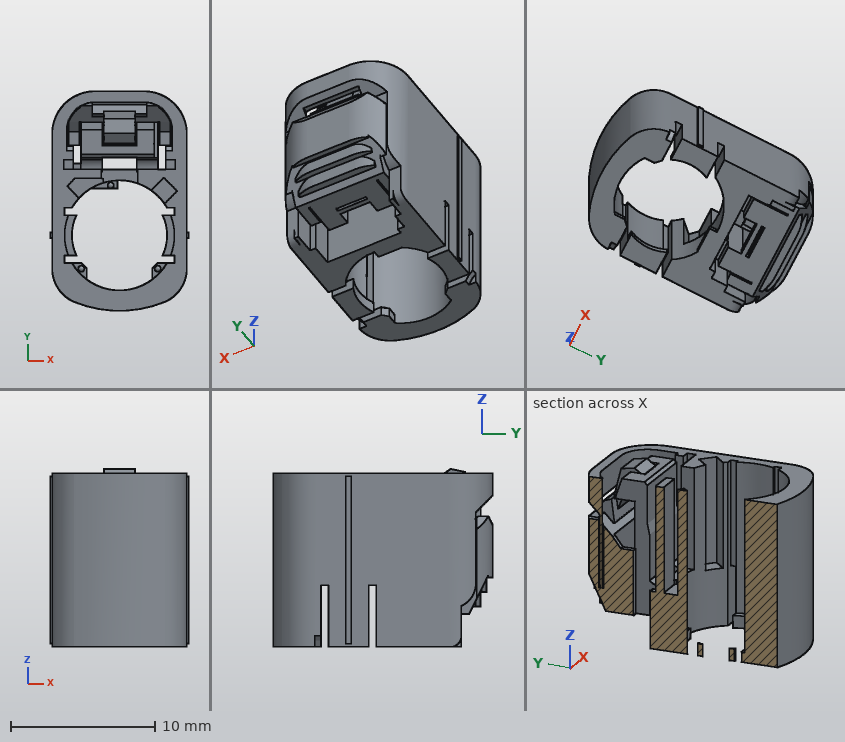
import cadquery as cq
import math

half_width = 4.68
shell_height = 12.05
back_y = 10.0
back_radius = 2.99
front_corner_start_y = -2.29
front_corner_end = (3.15, -4.62)
overall_length = 15.24
front_y = back_y - overall_length
overlap = 0.15
margin = 1.52

bore_radius = 3.81
lip_radius = 3.29
lip_height = 0.91
slot_inner_y = 1.4
slot_outer_y = 1.9
slot_height = 4.27
key_floor = slot_height
gap_floor = key_floor + 0.3
key_distance = 5.0
key_width = 1.31
key_angle = 45.0
gap_half_width = 1.28
stepped_key_outline = [
    (-3.1, 3.96), (-3.61, 3.41), (-2.85, 2.6), (-1.52, 2.6),
    (-1.11, 3.35), (-1.11, 3.9), (-gap_half_width, 3.96),
]
pad_height = 0.76
pad_inner_x = 2.25
pad_chamfer = 0.4
back_pad_end_x = -0.12
back_pad_front_y = 3.25
bump_radius = 0.21
bump_centers = [(-2.65, -2.32), (2.65, -2.32), (-0.61, 3.46)]

pocket_front_y = 4.57
pocket_back_y = 9.24
pocket_half_width = 3.64
pocket_corner_start_y = 7.28
pocket_corner_end_x = 1.62
pocket_corner_mid = (3.14, 8.58)
pocket_foot_height = 3.96
rib_half_gap = 3.2
rib_back_y = 5.85
ledge_back_y = 6.2
ledge_height = 9.15
ledge_drop = 0.23
side_notch_half_width = 3.87
side_notch_back_y = 5.23
side_notch_floor = 6.1
stop_back_y = 4.98
stop_height = slot_height

band_bottom = 10.52
band_notch_half_width = 2.21
band_notch_top = 10.12
opening_y = 8.81
opening_top = band_bottom - (back_y - opening_y)
opening_curve_start = 4.27
opening_curve_mid = (8.5, 3.41)
lower_back_y = 7.82
lower_back_top = 2.85
heel_radius = 0.76
heel_inner_x = 3.96

lever_bottom = 2.27
leg_inner_x = 1.19
leg_outer_x = 2.68
leg_front_y = 5.4
leg_lower_y = 5.23
leg_back_y = 6.35
leg_step_top = 8.99
leg_step_bottom = 8.23
bridge_bottom = 10.52
bridge_chamfer = 0.21
end_step_width = 0.29
bridge_top_back_y = 7.32
bridge_back_y = 7.85
bridge_slot_y = 6.23
link_top = 3.35
foot_front_y = 6.25
foot_slit_front_y = 6.61
foot_slit_back_y = 6.85
hinge_top = 4.57
hinge_thickness = 0.45
hinge_radius = math.sqrt(2) * (leg_lower_y - pocket_front_y)

button_top = 9.07
button_top_y = 9.7
button_edge_z = 8.46
button_slope_top = 5.61
button_foot_y = 8.35
button_inner_y = 8.98
button_clearance = 0.06
button_bevel_start_x = 3.02
button_bevel_slope = 0.9
grip_count = 3
grip_bottom = 4.82
grip_pitch_z = 1.0
grip_pitch_y = 0.43
grip_half_width = 3.05
arm_inner_x = 2.79
arm_clearance = 0.1
arm_outer_x = pocket_half_width - arm_clearance
arm_front_y = bridge_slot_y
arm_slope_y = 7.2
arm_top = 7.09
button_inner_top = 7.92

hook_half_width = 1.08
hook_base_half_width = 1.9
hook_peak_z = 12.35
hook_base_outline = [(8.21, 8.38), (8.45, 10.13), (9.07, 9.9), (9.17, 9.75), (9.17, 8.38)]
hook_outline = [
    (8.61, 10.06), (8.08, 12.15), (7.07, hook_peak_z), (6.37, 11.85),
    (6.37, 11.28), (7.62, 10.97), (8.3, 9.15), (8.61, 9.15),
]

strip_half_width = 0.2
strip_height = 0.12
strip_bottom = 0.23
strip_top = 11.83

relief_end_y = -2.35
relief_outer_z = 0.78
relief_inner_z = 0.44
relief_inner_depth = 0.34
relief_bottom_depth = 0.56


def block(x0, x1, y0, y1, z0, z1):
    return cq.Workplane("XY").box(x1 - x0, y1 - y0, z1 - z0, centered=False).translate((x0, y0, z0))


def both_sides(solid):
    return solid.union(solid.mirror("YZ"))


def side_profile(points, x0, x1):
    """Extrude a closed outline of (y, z) points from x0 to x1."""
    return cq.Workplane("YZ").polyline(points).close().extrude(x1 - x0).translate((x0, 0, 0))


def shell_outline():
    arc_center_x = half_width - back_radius
    arc_center_y = back_y - back_radius
    diagonal = back_radius * math.sqrt(0.5)
    end_x, end_y = front_corner_end
    return (
        cq.Workplane("XY")
        .moveTo(-half_width, arc_center_y)
        .threePointArc((-arc_center_x - diagonal, arc_center_y + diagonal), (-arc_center_x, back_y))
        .lineTo(arc_center_x, back_y)
        .threePointArc((arc_center_x + diagonal, arc_center_y + diagonal), (half_width, arc_center_y))
        .lineTo(half_width, front_corner_start_y)
        .tangentArcPoint((end_x, end_y), relative=False)
        .threePointArc((0, front_y), (-end_x, end_y))
        .threePointArc(front_corner_middle(), (-half_width, front_corner_start_y))
        .close()
        .extrude(shell_height)
    )


def front_corner_middle():
    """Middle of the left front corner arc, which is tangent to the side wall."""
    run = half_width - front_corner_end[0]
    drop = front_corner_start_y - front_corner_end[1]
    radius = (run**2 + drop**2) / (2 * run)
    half_angle = math.asin(drop / radius) / 2
    x = -half_width + radius * (1 - math.cos(half_angle))
    y = front_corner_start_y - radius * math.sin(half_angle)
    return (x, y)


def pocket_cut():
    mid_x, mid_y = pocket_corner_mid
    wide = (
        cq.Workplane("XY")
        .moveTo(-pocket_half_width, rib_back_y)
        .lineTo(-pocket_half_width, pocket_corner_start_y)
        .threePointArc((-mid_x, mid_y), (-pocket_corner_end_x, pocket_back_y))
        .lineTo(pocket_corner_end_x, pocket_back_y)
        .threePointArc((mid_x, mid_y), (pocket_half_width, pocket_corner_start_y))
        .lineTo(pocket_half_width, rib_back_y)
        .close()
        .extrude(shell_height)
    )
    foot = block(
        -pocket_half_width, pocket_half_width,
        pocket_corner_start_y, pocket_back_y, 0, pocket_foot_height,
    )
    narrow = block(-rib_half_gap, rib_half_gap, pocket_front_y, rib_back_y, 0, shell_height)
    return wide.union(foot).union(narrow)


def side_notch_cut():
    return block(
        -side_notch_half_width, side_notch_half_width,
        pocket_front_y, side_notch_back_y, side_notch_floor, shell_height,
    )


def pocket_ledges():
    profile = [
        (rib_back_y, 0),
        (ledge_back_y, 0),
        (ledge_back_y, ledge_height - ledge_drop),
        (rib_back_y, ledge_height),
    ]
    return both_sides(side_profile(profile, rib_half_gap, pocket_half_width))


def lever_stop():
    """Small block in the left front corner of the pocket."""
    return block(
        -rib_half_gap, -leg_outer_x, pocket_front_y - overlap, stop_back_y, 0, stop_height,
    )


def opening_cut():
    outer_y = back_y + margin
    outer_z = band_bottom + outer_y - back_y
    notch = block(
        -band_notch_half_width, band_notch_half_width, opening_y, outer_y, opening_top, band_notch_top,
    )
    side = (
        cq.Workplane("YZ")
        .moveTo(outer_y, outer_z)
        .lineTo(opening_y, opening_top)
        .lineTo(opening_y, opening_curve_start)
        .threePointArc(opening_curve_mid, (lower_back_y, lower_back_top))
        .lineTo(lower_back_y, 0)
        .lineTo(outer_y, 0)
        .close()
        .extrude(half_width + margin, both=True)
    )
    return side.union(notch)


def heel_cut():
    """Round the bottom back edge of the outer skin of both side walls."""
    diagonal = heel_radius * (1 - math.sqrt(0.5))
    wedge = (
        cq.Workplane("YZ")
        .moveTo(lower_back_y - heel_radius, 0)
        .threePointArc((lower_back_y - diagonal, diagonal), (lower_back_y, heel_radius))
        .lineTo(lower_back_y, 0)
        .close()
        .extrude(half_width - heel_inner_x)
        .translate((heel_inner_x, 0, 0))
    )
    return both_sides(wedge)


def slot_cut(y0, y1):
    groove = block(-bore_radius, bore_radius, y0, y1, 0, shell_height)
    through = block(-half_width - margin, half_width + margin, y0, y1, 0, slot_height)
    return groove.union(through)


def key_cuts():
    radial = (
        block(0, key_distance, -key_width / 2, key_width / 2, key_floor, shell_height)
        .rotate((0, 0, 0), (0, 0, 1), key_angle)
    )
    stepped = (
        cq.Workplane("XY")
        .polyline(stepped_key_outline)
        .close()
        .extrude(shell_height - key_floor)
        .translate((0, 0, key_floor))
    )
    gap = block(-gap_half_width, gap_half_width, 0, pocket_front_y, gap_floor, shell_height)
    return radial.union(stepped).union(gap)


def bore_lips():
    ring = cq.Workplane("XY").circle(bore_radius).circle(lip_radius).extrude(lip_height)
    return ring.intersect(block(-half_width, half_width, -slot_inner_y, slot_inner_y, 0, lip_height))


def bore_pads():
    """Three low pads in the bore, each with a domed bump."""
    corner = (
        cq.Workplane("XY")
        .polyline([
            (pad_inner_x, -bore_radius), (pad_inner_x, -slot_outer_y - pad_chamfer),
            (pad_inner_x + pad_chamfer, -slot_outer_y), (bore_radius, -slot_outer_y),
            (bore_radius, -bore_radius),
        ])
        .close()
        .extrude(pad_height)
    )
    back = block(-bore_radius, back_pad_end_x, back_pad_front_y, bore_radius, 0, pad_height)
    pads = both_sides(corner).union(back)
    pads = pads.intersect(cq.Workplane("XY").circle(bore_radius).extrude(pad_height))
    for x, y in bump_centers:
        pads = pads.union(cq.Workplane("XY").sphere(bump_radius).translate((x, y, pad_height)))
    return pads


def relief_cut():
    """Sloped pocket beside the front slot, low in both side walls."""
    wedge = (
        cq.Workplane("XZ")
        .polyline([
            (half_width, 0), (half_width, relief_outer_z),
            (half_width - relief_inner_depth, relief_inner_z), (half_width - relief_bottom_depth, 0),
        ])
        .close()
        .extrude(-slot_outer_y - relief_end_y)
        .translate((0, -slot_outer_y, 0))
    )
    return both_sides(wedge)


def guide_strips():
    strip = block(
        half_width - overlap, half_width + strip_height,
        -strip_half_width, strip_half_width, strip_bottom, strip_top,
    )
    return both_sides(strip)


def make_shell(outline, pocket):
    bore = cq.Workplane("XY").circle(bore_radius).extrude(shell_height)
    shell = outline.cut(bore).cut(pocket).cut(side_notch_cut()).cut(key_cuts())
    shell = shell.union(bore_lips()).union(bore_pads()).union(pocket_ledges()).union(lever_stop())
    shell = shell.cut(slot_cut(slot_inner_y, slot_outer_y))
    shell = shell.cut(slot_cut(-slot_outer_y, -slot_inner_y))
    shell = shell.cut(opening_cut()).cut(heel_cut()).cut(relief_cut())
    return shell.union(guide_strips())


def lever_legs():
    leg = side_profile(
        [
            (leg_front_y, bridge_bottom), (leg_front_y, leg_step_top),
            (leg_lower_y, leg_step_bottom), (leg_lower_y, lever_bottom),
            (button_foot_y, lever_bottom), (bridge_back_y, link_top),
            (leg_back_y, link_top), (leg_back_y, bridge_bottom),
        ],
        leg_inner_x, leg_outer_x,
    )
    web = block(
        leg_inner_x, leg_outer_x, pocket_front_y - overlap, leg_lower_y,
        hinge_top - hinge_thickness, hinge_top + hinge_radius * (1 - math.sqrt(0.5)),
    )
    hollow = (
        cq.Workplane("YZ")
        .circle(hinge_radius)
        .extrude(half_width)
        .translate((0, pocket_front_y, hinge_top + hinge_radius))
    )
    return both_sides(leg.union(web.cut(hollow)))


def lever_foot():
    """Slab that ties the legs together below the hook, with a slit across the middle."""
    foot = block(-leg_outer_x, leg_outer_x, foot_front_y, bridge_back_y, lever_bottom, link_top)
    slit = block(
        -leg_inner_x, leg_inner_x, foot_slit_front_y, foot_slit_back_y, lever_bottom, link_top,
    )
    return foot.cut(slit)


def lever_bridge():
    top = shell_height
    bridge = side_profile(
        [
            (leg_front_y, bridge_bottom), (leg_front_y, top - bridge_chamfer),
            (leg_front_y + bridge_chamfer, top), (bridge_top_back_y, top),
            (bridge_back_y, bridge_bottom),
        ],
        -leg_outer_x, leg_outer_x,
    )
    slot = block(-leg_inner_x, leg_inner_x, bridge_slot_y, back_y, 0, top)
    return bridge.cut(slot)


def end_step_cut():
    """Step that narrows the +X end of the bridge and leg above the foot."""
    return block(
        leg_outer_x - end_step_width, leg_outer_x,
        leg_front_y, bridge_back_y, link_top, shell_height,
    )


def slope_y(z):
    """Y of the sloped lower face of the button at height z."""
    rise = (z - lever_bottom) / (button_slope_top - lever_bottom)
    return button_foot_y + rise * (back_y - button_foot_y)


def lever_button(outline, pocket):
    plate = side_profile(
        [
            (bridge_back_y, lever_bottom), (button_foot_y, lever_bottom),
            (back_y, button_slope_top), (back_y, button_edge_z),
            (button_top_y, button_top), (button_inner_y, button_top),
            (bridge_back_y, button_inner_top),
        ],
        -half_width, half_width,
    )
    bevel_run = half_width - button_bevel_start_x
    bevel = (
        cq.Workplane("XZ")
        .polyline([
            (button_bevel_start_x, button_top), (half_width, button_top),
            (half_width, button_top - button_bevel_slope * bevel_run),
        ])
        .close()
        .extrude(-back_y)
    )
    outside = block(-half_width, half_width, opening_y + button_clearance, back_y, 0, shell_height)
    inside = pocket.intersect(block(-arm_outer_x, arm_outer_x, 0, back_y, 0, shell_height))
    inside = inside.translate((0, -button_clearance, 0))
    plate = plate.cut(both_sides(bevel)).intersect(outline).intersect(outside.union(inside))
    for index in range(grip_count):
        plate = plate.union(grip_step(outline, index))
    arm = side_profile(
        [
            (arm_front_y, lever_bottom), (button_foot_y, lever_bottom),
            (button_foot_y, button_inner_top), (bridge_back_y, button_inner_top),
            (arm_slope_y, arm_top), (arm_front_y, arm_top),
        ],
        arm_inner_x, arm_outer_x,
    )
    foot = block(arm_inner_x, arm_outer_x, 0, button_foot_y, 0, pocket_foot_height)
    return plate.union(both_sides(arm.intersect(inside.union(foot))))


def grip_step(outline, index):
    bottom = grip_bottom - index * grip_pitch_z
    step_y = back_y - index * grip_pitch_y
    top = bottom + grip_pitch_z
    step = side_profile(
        [
            (slope_y(bottom) - overlap, bottom), (step_y, bottom),
            (step_y, top), (slope_y(top) - overlap, top),
        ],
        -grip_half_width, grip_half_width,
    )
    return step.intersect(outline.translate((0, step_y - back_y, 0)))


def catch_hook():
    base = side_profile(hook_base_outline, -hook_base_half_width, hook_base_half_width)
    hook = side_profile(hook_outline, -hook_half_width, hook_half_width)
    return base.union(hook)


outline = shell_outline()
pocket = pocket_cut()
lever = lever_legs().union(lever_foot()).union(lever_bridge()).cut(end_step_cut())
lever = lever.union(lever_button(outline, pocket)).union(catch_hook())
result = make_shell(outline, pocket).union(lever)